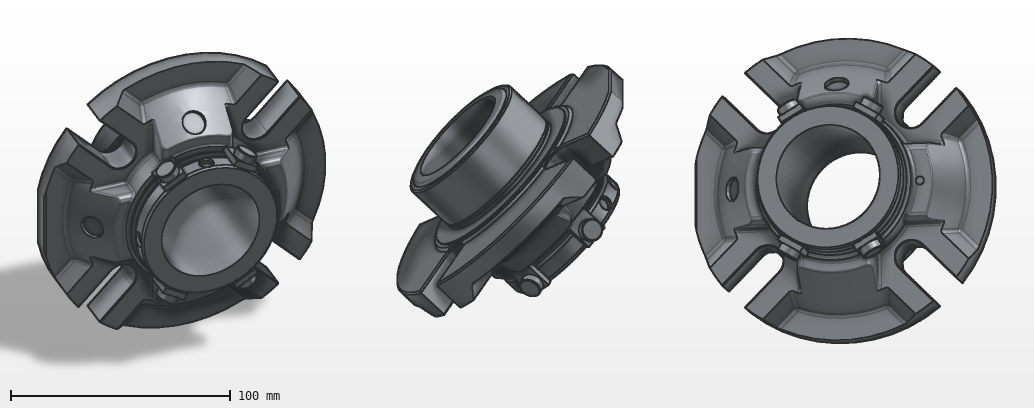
import cadquery as cq
import math


LENGTH = 71.3
BORE_R = 24.0
NOSE_FLAT_R = 56.2 / 2
NOSE_R = 59.5 / 2
NOSE_END = 1.4
SHOULDER_R = 31.8
SLEEVE_R = 65.4 / 2
SHOULDER_CHAMFER = 0.7
GROOVE_START = 24.1
GROOVE_END = 25.7

PILOT_R = 41.3
PILOT_START = 27.3
SEAT_R = 43.1
SEAT_START = 28.2
SEAT_CONE_R = 44.3

FLANGE_R = 69.7
FLANGE_BACK = 29.5
RIM_FRONT = 38.6
PAD_FRONT = 45.5
FLANGE_CHAMFER = 0.8
FLAT_OFFSET = 68.3
SLOT_WIDTH = 14.5
SLOT_CENTER_R = 47.1
SLOT_MOUTH_CHAMFER = 0.4
PAD_HALF_BASE = 23.5
PAD_HALF_TOP = 17.5
SLOT_ANGLES = (45, 135, 225, 315)

BARREL_R = 35.7
BARREL_END = 57.6
CONE_BASE_R = 52.0
CONE_END_R = 41.5
ARM_END = 56.9
CONE_SLOPE = (CONE_BASE_R - CONE_END_R) / (ARM_END - PAD_FRONT)
CONE_ANGLE = math.degrees(math.atan(CONE_SLOPE))
SHORT_ARM_END = 53.5
SHORT_ARM_ANGLE = 270
ARM_ANGLES = (0, 90, 180, SHORT_ARM_ANGLE)
ARM_HALF_WIDTH = 17.8
ARM_CORNER_FILLET = 3.3
ARM_TOP_FILLET = 0.8
ARM_FOOT_FILLET = 1.7
RECESS_FILLET = 2.8

POSITION_TOLERANCE = 0.03
SLOT_MOUTH_BAND = 1.1

PIN_DIAMETER = 3.8
PIN_CENTER_R = 39.0
PIN_HEIGHT = 0.4

PORT_DIAMETER = 11.0
PORT_DEPTH = 2.2
FRONT_PORT_ANGLE = 90
FRONT_PORT_X = 48.8
TOP_PORT_ANGLE = 0
TOP_PORT_X = 51.6

COLLAR_R = 33.3
COLLAR_START = 61.4
COLLAR_CHAMFER_LENGTH = 1.5
COLLAR_CHAMFER_DEPTH = 0.7
RING_R = 68.2 / 2
RING_START = 59.1
RING_END = 59.8
NECK_R = 25.4

CLIP_ANGLES = (30, 150, 210, 330)
CLIP_OUTER = 36.3
CLIP_WIDTH = 11.9
SCREW_X = 66.2
SCREW_HEAD_DIAMETER = 10.0
SCREW_HEAD_TOP = 40.3
SCREW_HEAD_CHAMFER = 0.4

SET_SCREW_ANGLES = (0, 120)
SET_SCREW_DIAMETER = 6.0
SLOTTED_SCREW_ANGLE = 90
SLOTTED_SCREW_DIAMETER = 4.9
DRIVER_SLOT_WIDTH = 1.7
DRIVER_SLOT_DEPTH = 0.7
SET_SCREW_MOUTH = 7.4
SET_SCREW_DEPTH = 2.2


def cone_radius(x):
    return CONE_BASE_R - CONE_SLOPE * (x - PAD_FRONT)


def turned(points):
    """Solid of revolution about X from (x, radius) points."""
    return cq.Workplane("XY").polyline(points).close().revolve(360, (0, 0, 0), (1, 0, 0))


def cylinder_x(radius, start, end):
    return cq.Workplane("YZ").workplane(offset=start).circle(radius).extrude(end - start)


def box_x(start, end, y_size, z_low, z_high):
    box = cq.Workplane("XY").box(end - start, y_size, z_high - z_low, centered=(False, True, False))
    return box.translate((start, 0, z_low))


def turn(shape, angle):
    """Turn a feature built at +Z about X; 90 degrees takes it to -Y."""
    return shape.rotate((0, 0, 0), (1, 0, 0), angle)


def make_sleeve():
    nose_radius = NOSE_R - NOSE_FLAT_R
    profile = (
        cq.Workplane("XY")
        .moveTo(0, 0)
        .lineTo(0, NOSE_FLAT_R)
        .radiusArc((NOSE_END, NOSE_R), nose_radius)
        .lineTo(NOSE_END, SHOULDER_R)
        .lineTo(NOSE_END + SHOULDER_CHAMFER, SLEEVE_R)
        .lineTo(GROOVE_START, SLEEVE_R)
        .lineTo(GROOVE_START, SHOULDER_R)
        .lineTo(GROOVE_END, SHOULDER_R)
        .lineTo(GROOVE_END, SLEEVE_R)
        .lineTo(PILOT_START, SLEEVE_R)
        .lineTo(PILOT_START, 0)
        .close()
    )
    return profile.revolve(360, (0, 0, 0), (1, 0, 0))


def make_pad(angle):
    """Thickened band along a bolt slot, with sloping flanks."""
    pad = (
        cq.Workplane("XY")
        .moveTo(RIM_FRONT, -PAD_HALF_BASE)
        .lineTo(PAD_FRONT, -PAD_HALF_TOP)
        .lineTo(PAD_FRONT, PAD_HALF_TOP)
        .lineTo(RIM_FRONT, PAD_HALF_BASE)
        .close()
        .extrude(2 * FLANGE_R)
    )
    return turn(pad, angle)


def make_slot(angle, start, end):
    slot = box_x(start, end, SLOT_WIDTH, SLOT_CENTER_R, 2 * FLANGE_R)
    round_end = cylinder_x(SLOT_WIDTH / 2, start, end).translate((0, 0, SLOT_CENTER_R))
    return turn(slot.union(round_end), angle)


def make_seat():
    """Pilot disc and gasket seat; only the seat is notched by the slots."""
    seat = turned([
        (SEAT_START, 0),
        (SEAT_START, SEAT_R),
        (FLANGE_BACK, SEAT_CONE_R),
        (FLANGE_BACK, 0),
    ])
    for angle in SLOT_ANGLES:
        seat = seat.cut(make_slot(angle, SEAT_START, FLANGE_BACK))
    return seat.union(cylinder_x(PILOT_R, PILOT_START, SEAT_START))


def make_arms():
    """Four arms, all trimmed to one cone, standing on a full conical foot."""
    cone = turned([
        (FLANGE_BACK, 0),
        (FLANGE_BACK, cone_radius(RIM_FRONT)),
        (RIM_FRONT, cone_radius(RIM_FRONT)),
        (ARM_END, CONE_END_R),
        (ARM_END, 0),
    ])
    arms = cylinder_x(FLANGE_R, FLANGE_BACK, PAD_FRONT)
    for angle in ARM_ANGLES:
        end = SHORT_ARM_END if angle == SHORT_ARM_ANGLE else ARM_END
        arm = box_x(FLANGE_BACK, end, 2 * ARM_HALF_WIDTH, 0, FLANGE_R)
        arm = arm.edges("|Z and >X").fillet(ARM_CORNER_FILLET)
        arms = arms.union(turn(arm, angle))
    return arms.intersect(cone)


def near(value, target):
    return abs(value - target) < POSITION_TOLERANCE


def is_arm_top(x, radius):
    """Rounded-corner and side edges along the conical top of an arm."""
    return PAD_FRONT + ARM_FOOT_FILLET < x < BARREL_END and radius > CONE_END_R + POSITION_TOLERANCE


def is_recess_foot(x, radius):
    """Edges where the cone meets the rim face and the pad flanks."""
    on_rim = near(x, RIM_FRONT) and near(radius, cone_radius(RIM_FRONT))
    on_flank = RIM_FRONT < x < PAD_FRONT and CONE_BASE_R < radius < cone_radius(RIM_FRONT)
    on_pad_foot = near(x, RIM_FRONT) and cone_radius(RIM_FRONT) < radius < FLANGE_R - POSITION_TOLERANCE
    return on_rim or on_flank or on_pad_foot


def is_arm_foot(x, radius):
    """Edges where the arms and the barrel meet the pads and each other."""
    on_pad = near(x, PAD_FRONT) and radius < CONE_BASE_R - ARM_CORNER_FILLET
    on_barrel = near(radius, BARREL_R) and PAD_FRONT < x < BARREL_END
    return on_pad or on_barrel


def is_slot_mouth(x, radius):
    """Straight slot edges on the pad fronts; the round slot ends follow on from them."""
    side_middle = (SLOT_CENTER_R + FLANGE_R) / 2
    return near(x, PAD_FRONT) and abs(radius - side_middle) < SLOT_MOUTH_BAND


def edges_where(shape, test):
    """Edges whose midpoint, as (x, distance from the axis), passes the test."""
    chosen = []
    for edge in shape.edges().vals():
        middle = edge.positionAt(0.5)
        if test(middle.x, math.hypot(middle.y, middle.z)):
            chosen.append(edge)
    return shape.newObject(chosen)


def make_body():
    """Flange and hub in one piece, with the slots cut through the pads."""
    front = cylinder_x(2 * FLANGE_R, FLANGE_BACK, RIM_FRONT)
    for angle in SLOT_ANGLES:
        front = front.union(make_pad(angle))
    body = front.intersect(cylinder_x(FLANGE_R, FLANGE_BACK, PAD_FRONT)).union(make_arms())

    body = body.union(cylinder_x(BARREL_R, FLANGE_BACK, LENGTH))
    body = edges_where(body, is_arm_top).fillet(ARM_TOP_FILLET)
    body = edges_where(body, is_recess_foot).fillet(RECESS_FILLET)
    body = edges_where(body, is_arm_foot).fillet(ARM_FOOT_FILLET)
    body = body.intersect(cylinder_x(FLANGE_R, FLANGE_BACK, BARREL_END))

    flat_cut = turn(box_x(FLANGE_BACK, PAD_FRONT, 2 * FLANGE_R, FLAT_OFFSET, 2 * FLANGE_R), 90)
    body = body.cut(flat_cut)
    body = body.faces("<Y").edges(">X").chamfer(FLANGE_CHAMFER)
    for angle in SLOT_ANGLES:
        body = body.cut(make_slot(angle, FLANGE_BACK, PAD_FRONT))
    body = edges_where(body, is_slot_mouth).chamfer(SLOT_MOUTH_CHAMFER)
    return body.faces("<X").edges().chamfer(FLANGE_CHAMFER)


def make_pin():
    pin = cylinder_x(PIN_DIAMETER / 2, PAD_FRONT, SHORT_ARM_END + PIN_HEIGHT)
    return turn(pin.translate((0, 0, PIN_CENTER_R)), SHORT_ARM_ANGLE)


def make_port(angle, x):
    """Cutter for a shallow port, square to the cone at station x."""
    port = cq.Workplane("XY").circle(PORT_DIAMETER / 2).extrude(2 * PORT_DEPTH)
    port = port.translate((0, 0, -PORT_DEPTH))
    port = port.rotate((0, 0, 0), (0, 1, 0), CONE_ANGLE)
    return turn(port.translate((x, 0, cone_radius(x))), angle)


def make_collar():
    ring = cylinder_x(RING_R, RING_START, RING_END)
    ring_seat = cylinder_x(COLLAR_R, BARREL_END, RING_START)
    neck = cylinder_x(NECK_R, RING_END, COLLAR_START)
    edge_r = COLLAR_R - COLLAR_CHAMFER_DEPTH
    collar = turned([
        (COLLAR_START, 0),
        (COLLAR_START, edge_r),
        (COLLAR_START + COLLAR_CHAMFER_LENGTH, COLLAR_R),
        (LENGTH - COLLAR_CHAMFER_LENGTH, COLLAR_R),
        (LENGTH, edge_r),
        (LENGTH, 0),
    ])
    for angle in SET_SCREW_ANGLES:
        collar = collar.cut(make_set_screw_hole(angle, SET_SCREW_DIAMETER))
    collar = collar.cut(make_set_screw_hole(SLOTTED_SCREW_ANGLE, SLOTTED_SCREW_DIAMETER))
    collar = collar.cut(make_driver_slot())
    return ring_seat.union(ring).union(neck).union(collar)


def make_set_screw_hole(angle, diameter):
    bevel = (SET_SCREW_MOUTH - diameter) / 2
    floor = COLLAR_R - SET_SCREW_DEPTH
    hole = (
        cq.Workplane("XZ")
        .moveTo(0, floor)
        .lineTo(diameter / 2, floor)
        .lineTo(diameter / 2, COLLAR_R - bevel)
        .lineTo(SET_SCREW_MOUTH / 2, COLLAR_R)
        .lineTo(0, COLLAR_R)
        .close()
        .revolve(360, (0, 0, 0), (0, 1, 0))
    )
    return turn(hole.translate((SCREW_X, 0, 0)), angle)


def make_driver_slot():
    floor = COLLAR_R - SET_SCREW_DEPTH
    screw = cq.Workplane("XY").circle(SLOTTED_SCREW_DIAMETER / 2).extrude(DRIVER_SLOT_DEPTH)
    slot = screw.intersect(
        cq.Workplane("XY").box(DRIVER_SLOT_WIDTH, SLOTTED_SCREW_DIAMETER, 2 * DRIVER_SLOT_DEPTH)
    )
    return turn(slot.translate((SCREW_X, 0, floor - DRIVER_SLOT_DEPTH)), SLOTTED_SCREW_ANGLE)


def make_clip(angle):
    plate = box_x(BARREL_END, LENGTH, CLIP_WIDTH, COLLAR_R, CLIP_OUTER)
    head = (
        cq.Workplane("XY")
        .workplane(offset=CLIP_OUTER)
        .center(SCREW_X, 0)
        .circle(SCREW_HEAD_DIAMETER / 2)
        .extrude(SCREW_HEAD_TOP - CLIP_OUTER)
        .faces(">Z")
        .chamfer(SCREW_HEAD_CHAMFER)
    )
    return turn(plate.union(head), angle)


result = make_sleeve().union(make_seat()).union(make_body()).union(make_pin()).union(make_collar())
for clip_angle in CLIP_ANGLES:
    result = result.union(make_clip(clip_angle))
result = result.cut(make_port(FRONT_PORT_ANGLE, FRONT_PORT_X))
result = result.cut(make_port(TOP_PORT_ANGLE, TOP_PORT_X))
result = result.cut(cylinder_x(BORE_R, 0, LENGTH))